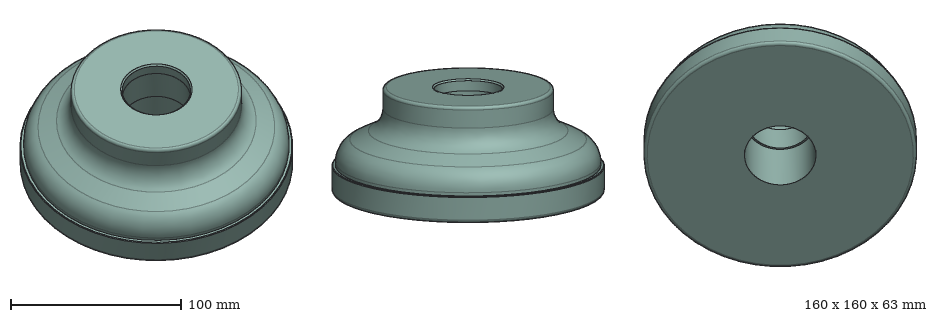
import cadquery as cq
import math

base_radius = 80.0
base_height = 16.0
total_height = 63.0
neck_radius = 50.0
dome_radius = 78.0
bore_radius = 20.0

edge_round = 2.0
rim_chamfer = 0.5
bore_chamfer = 1.0

bell_arc_radius = 15.0
dome_arc_start = 18.0
neck_arc_end = 50.2

hub_top = 56.0
hub_wall = 9.6
hub_radius = bore_radius + hub_wall

relief_top = 36.8
relief_step = 1.0
relief_radius = bore_radius + relief_step


def bell_outline():
    """Half section of the solid bell: two equal arcs joined by their common tangent line."""
    dome_center = (dome_radius - bell_arc_radius, dome_arc_start)
    neck_center = (neck_radius + bell_arc_radius, neck_arc_end)
    across = neck_center[0] - dome_center[0]
    rise = neck_center[1] - dome_center[1]
    center_distance = math.hypot(across, rise)
    normal_angle = math.atan2(rise, across) - math.acos(2 * bell_arc_radius / center_distance)

    def dome_point(angle):
        return (
            dome_center[0] + bell_arc_radius * math.cos(angle),
            dome_center[1] + bell_arc_radius * math.sin(angle),
        )

    def neck_point(angle):
        return (
            neck_center[0] - bell_arc_radius * math.cos(angle),
            neck_center[1] - bell_arc_radius * math.sin(angle),
        )

    return (
        cq.Workplane("XZ")
        .moveTo(0, base_height)
        .lineTo(dome_radius, base_height)
        .lineTo(dome_radius, dome_arc_start)
        .threePointArc(dome_point(normal_angle / 2), dome_point(normal_angle))
        .lineTo(*neck_point(normal_angle))
        .threePointArc(neck_point(normal_angle / 2), (neck_radius, neck_arc_end))
        .lineTo(neck_radius, total_height)
        .lineTo(0, total_height)
        .close()
    )


def upright_cylinder(radius, height):
    """Solid cylinder on the Z axis, standing on the bottom plane."""
    return cq.Workplane("XY").circle(radius).extrude(height)


def make_bell():
    """Bell resting on the flange, with a bored top and a socket for the hub."""
    bell = bell_outline().revolve(360, (0, 0, 0), (0, 1, 0))
    bell = bell.faces(">Z").edges().fillet(edge_round)
    bell = bell.cut(upright_cylinder(bore_radius, total_height))
    bore_mouth = bell.faces(">Z").edges(cq.selectors.RadiusNthSelector(0))
    bell = bore_mouth.chamfer(bore_chamfer)
    return bell.cut(upright_cylinder(hub_radius, hub_top))


def make_base():
    """Flange with a central hub and a through bore that widens toward the bottom."""
    flange = upright_cylinder(base_radius, base_height)
    flange = flange.faces("<Z").edges().fillet(edge_round)
    flange = flange.faces(">Z").edges().chamfer(rim_chamfer)
    base = flange.union(upright_cylinder(hub_radius, hub_top))
    base = base.cut(upright_cylinder(bore_radius, hub_top))
    return base.cut(upright_cylinder(relief_radius, relief_top))


bell = make_bell()
base = make_base()
result = cq.Compound.makeCompound([bell.val(), base.val()])